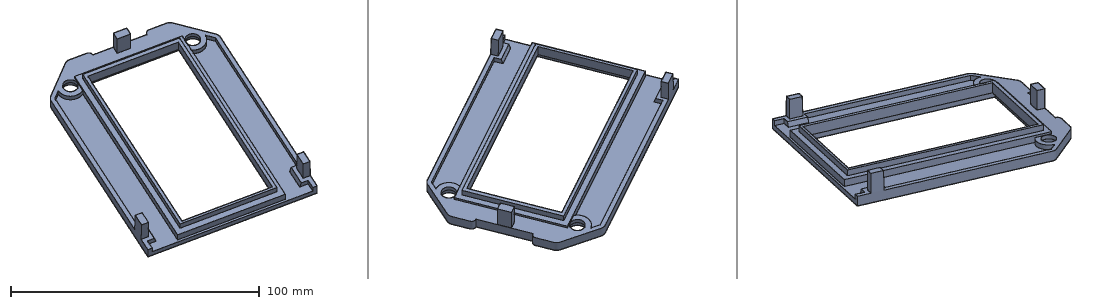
import cadquery as cq
import math

LENGTH = 104.0
WIDTH = 76.0
PLATE_TOP = 4.5
TOTAL_HEIGHT = 13.3
CORNER_CUT = 14.9
CORNER_RADIUS = 3.4
NOTCH_DEPTH = 1.9
NOTCH_RADIUS = 1.8
NOTCH_HALF_WIDTH = 12.2
SELECT_MARGIN = 1.0

RIM = 2.0
FLOOR_TOP = 2.3
HOLE_X = 12.5
HOLE_Y = 27.5
HOLE_DIAMETER = 6.2
BOSS_RADIUS = 5.6
COUNTERBORE_DIAMETER = 8.3
COUNTERBORE_DEPTH = 2.7

LEDGE_START, LEDGE_END = 9.6, 103.0
LEDGE_WIDTH = 48.4
LEDGE_TOP = 5.4
FRAME_START, FRAME_END = 12.1, 100.3
FRAME_WIDTH = 43.5
FRAME_TOP = 8.0
WINDOW_START, WINDOW_END = 13.8, 99.1
WINDOW_WIDTH = 40.6
REBATE_MARGIN = 2.1
REBATE_DEPTH = 3.4

PAD_START, PAD_END = 90.6, 99.7
PAD_INNER_Y = 33.0
PAD_FLARE = 0.7
POST_START, POST_END = 91.9, 97.9
POST_INNER_Y = 34.7
POST_DRAFT = 0.2
FRONT_POST_START, FRONT_POST_END = 2.0, 5.5
FRONT_POST_WIDTH = 6.0

half_width = WIDTH / 2


def block(x_start, x_end, width, z_start, z_end):
    """Box centred on y = 0."""
    return cq.Workplane("XY").box(
        x_end - x_start, width, z_end - z_start, centered=(False, True, False)
    ).translate((x_start, 0, z_start))


def make_plate():
    shoulder_y = half_width - CORNER_CUT
    blank = (
        cq.Workplane("XY")
        .polyline([
            (0, -shoulder_y),
            (CORNER_CUT, -half_width),
            (LENGTH, -half_width),
            (LENGTH, half_width),
            (CORNER_CUT, half_width),
            (0, shoulder_y),
        ])
        .close()
        .extrude(PLATE_TOP)
    )
    blank = blank.edges("|Z and (not >X)").fillet(CORNER_RADIUS)
    notch = block(0, NOTCH_DEPTH, 2 * NOTCH_HALF_WIDTH, 0, PLATE_TOP)
    mouth_corners = cq.selectors.BoxSelector(
        (-NOTCH_DEPTH / 2, -NOTCH_HALF_WIDTH - SELECT_MARGIN, 0),
        (NOTCH_DEPTH / 2, NOTCH_HALF_WIDTH + SELECT_MARGIN, PLATE_TOP),
    )
    notched = blank.cut(notch)
    return notched.edges("|Z").edges(mouth_corners).fillet(NOTCH_RADIUS)


def make_pocket():
    """Recess on the +Y side, open at x = LENGTH and bounded by the hole boss."""
    outer_y = half_width - RIM
    diagonal_offset = half_width - CORNER_CUT - RIM * math.sqrt(2)
    depth = PLATE_TOP - FLOOR_TOP
    pocket = (
        cq.Workplane("XY", origin=(0, 0, FLOOR_TOP))
        .polyline([
            (HOLE_X, 0),
            (LENGTH, 0),
            (LENGTH, outer_y),
            (outer_y - diagonal_offset, outer_y),
            (HOLE_X, HOLE_X + diagonal_offset),
        ])
        .close()
        .extrude(depth)
    )
    boss = (
        cq.Workplane("XY", origin=(HOLE_X, HOLE_Y, FLOOR_TOP))
        .circle(BOSS_RADIUS)
        .extrude(depth)
    )
    return pocket.cut(boss)


def make_clip():
    """Flared pad and tall post on the +Y rim."""
    pad = (
        cq.Workplane("YZ", origin=(PAD_START, 0, 0))
        .polyline([
            (half_width, 0),
            (half_width, PLATE_TOP),
            (PAD_INNER_Y, PLATE_TOP),
            (PAD_INNER_Y - PAD_FLARE, FLOOR_TOP),
            (PAD_INNER_Y - PAD_FLARE, 0),
        ])
        .close()
        .extrude(PAD_END - PAD_START)
    )
    post_length = POST_END - POST_START
    post_depth = half_width - POST_INNER_Y
    post = (
        cq.Workplane("XY", origin=(POST_END, POST_INNER_Y, PLATE_TOP))
        .polyline([(0, 0), (-post_length, 0), (-post_length, post_depth), (0, post_depth)])
        .close()
        .workplane(offset=TOTAL_HEIGHT - PLATE_TOP)
        .polyline([
            (0, 0),
            (POST_DRAFT - post_length, 0),
            (POST_DRAFT - post_length, post_depth - POST_DRAFT),
            (0, post_depth - POST_DRAFT),
        ])
        .close()
        .loft(ruled=True)
    )
    return pad.union(post)


def both_sides(shape):
    return shape.union(shape.mirror("XZ"))


body = make_plate().cut(both_sides(make_pocket()))
body = body.union(block(LEDGE_START, LEDGE_END, LEDGE_WIDTH, 0, LEDGE_TOP))
body = body.union(block(FRAME_START, FRAME_END, FRAME_WIDTH, 0, FRAME_TOP))
body = body.cut(block(WINDOW_START, WINDOW_END, WINDOW_WIDTH, 0, FRAME_TOP))

body = body.cut(block(
    WINDOW_START - REBATE_MARGIN,
    WINDOW_END + REBATE_MARGIN,
    WINDOW_WIDTH + 2 * REBATE_MARGIN,
    0,
    REBATE_DEPTH,
))

body = body.union(both_sides(make_clip()))
body = body.union(block(FRONT_POST_START, FRONT_POST_END, FRONT_POST_WIDTH, 0, TOTAL_HEIGHT))

for hole_y in (-HOLE_Y, HOLE_Y):
    axis = cq.Workplane("XY", origin=(HOLE_X, hole_y, 0))
    body = body.cut(axis.circle(HOLE_DIAMETER / 2).extrude(PLATE_TOP))
    body = body.cut(axis.circle(COUNTERBORE_DIAMETER / 2).extrude(COUNTERBORE_DEPTH))

result = body